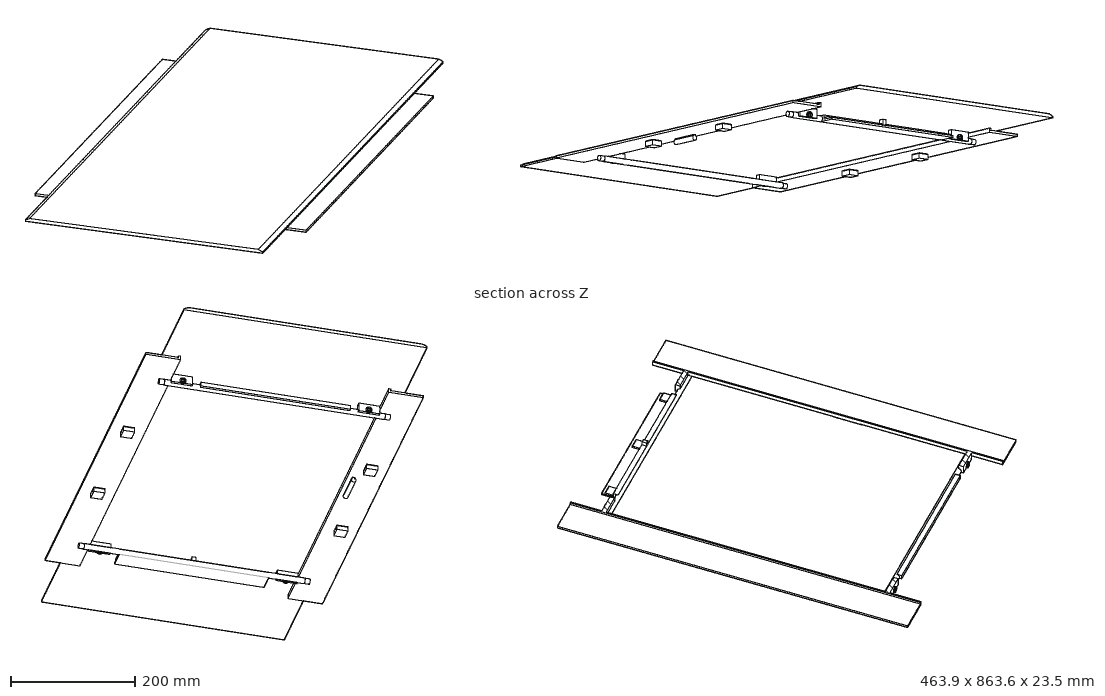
import cadquery as cq

TOTAL_WIDTH = 463.87
TOTAL_HEIGHT = 23.53

PANEL_WIDTH = 406.4
PANEL_LENGTH = 863.6
PANEL_THICKNESS = 6.0
BEVEL_WIDTH = 7.5
PANEL_EDGE_HEIGHT = 2.5
PANEL_BOTTOM = TOTAL_HEIGHT - PANEL_THICKNESS

STRIP_LENGTH = 609.6
STRIP_BOTTOM = 9.3
STRIP_THICKNESS = 3.9
LIP_OUTER_X = 177.5
LIP_THICKNESS = 3.5
LIP_INNER_X = LIP_OUTER_X - LIP_THICKNESS
LIP_TOP = 16.3

ROD_RADIUS = 4.76
ROD_LENGTH = 386.0
ROD_Y = 242.5
ROD_TIP_RADIUS = 4.4
ROD_TIP_LENGTH = 8.5

BRACKET_WIDTH = 35.0
BRACKET_BOTTOM = 2.7
BRACKET_OUTER_Y = 251.0
BRACKET_DEPTH = BRACKET_OUTER_Y - ROD_Y
BRACKET_X = LIP_INNER_X - BRACKET_WIDTH / 2

BOLT_X = 155.5
BOLT_Z = 6.5
BOLT_HEAD_RADIUS = 5.0
BOLT_HEAD_HEIGHT = 2.0
BOLT_SOCKET_RADIUS = 2.5
BOLT_SOCKET_DEPTH = 1.5

BAR_LENGTH = 250.0
BAR_BOTTOM = 2.7
BAR_TOP = 9.9
POST_WIDTH = 6.5

PLATE_FRONT_Y = 271.5
PLATE_THICKNESS = 3.0
TAB_LENGTH = 16.5
TAB_FRONT_Y = 265.5
TAB_TOP = 6.0
TAB_PITCH = 116.5

FOOT_WIDTH = 18.5
FOOT_LENGTH = 19.0
FOOT_X = 203.2
FOOT_Y = 90.0
FOOT_TOP = 8.4
FOOT_NECK_INSET = 1.5

BARREL_RADIUS = 4.1
BARREL_LENGTH = 48.5
BARREL_X = -184.0
BARREL_Y = 32.0
BARREL_NECK_WIDTH = 4.0


def block(x_range, y_range, z_range):
    """Box given by its lower and upper limit along each axis."""
    x0, x1 = x_range
    y0, y1 = y_range
    z0, z1 = z_range
    return cq.Workplane("XY").box(x1 - x0, y1 - y0, z1 - z0, centered=False).translate((x0, y0, z0))


def centred(middle, length):
    """Limits of a length centred on a place."""
    return middle - length / 2, middle + length / 2


def make_panel():
    """Flat panel with its two long edges bevelled on top."""
    edge_x = PANEL_WIDTH / 2
    flat_x = edge_x - BEVEL_WIDTH
    edge_top = PANEL_BOTTOM + PANEL_EDGE_HEIGHT
    outline = [
        (-edge_x, PANEL_BOTTOM),
        (edge_x, PANEL_BOTTOM),
        (edge_x, edge_top),
        (flat_x, TOTAL_HEIGHT),
        (-flat_x, TOTAL_HEIGHT),
        (-edge_x, edge_top),
    ]
    return cq.Workplane("XZ").polyline(outline).close().extrude(PANEL_LENGTH / 2, both=True)


def make_right_strip():
    """L-section strip; the left one is its mirror image."""
    outer_x = TOTAL_WIDTH / 2
    outline = [
        (outer_x, STRIP_BOTTOM),
        (outer_x, STRIP_BOTTOM + STRIP_THICKNESS),
        (LIP_OUTER_X, STRIP_BOTTOM + STRIP_THICKNESS),
        (LIP_OUTER_X, LIP_TOP),
        (LIP_INNER_X, LIP_TOP),
        (LIP_INNER_X, STRIP_BOTTOM),
    ]
    return cq.Workplane("XZ").polyline(outline).close().extrude(STRIP_LENGTH / 2, both=True)


def make_foot(x, y):
    """Rectangular foot hung from the strip by a slightly smaller neck."""
    foot = block(centred(x, FOOT_WIDTH), centred(y, FOOT_LENGTH), (0, FOOT_TOP))
    neck = block(
        centred(x, FOOT_WIDTH - 2 * FOOT_NECK_INSET),
        centred(y, FOOT_LENGTH - 2 * FOOT_NECK_INSET),
        (FOOT_TOP, STRIP_BOTTOM),
    )
    return foot.union(neck)


def make_bolted_bracket(x_side):
    """Front bracket with a socket-head bolt on its outer face."""
    bracket = block(
        centred(x_side * BRACKET_X, BRACKET_WIDTH),
        (-BRACKET_OUTER_Y, -BRACKET_OUTER_Y + BRACKET_DEPTH),
        (BRACKET_BOTTOM, PANEL_BOTTOM),
    )
    face = cq.Workplane("XZ", origin=(x_side * BOLT_X, -BRACKET_OUTER_Y, BOLT_Z))
    head = face.circle(BOLT_HEAD_RADIUS).extrude(BOLT_HEAD_HEIGHT)
    socket = (
        face.workplane(offset=BOLT_HEAD_HEIGHT - BOLT_SOCKET_DEPTH)
        .circle(BOLT_SOCKET_RADIUS)
        .extrude(BOLT_SOCKET_DEPTH)
    )
    return bracket.union(head).cut(socket)


def make_front_rod():
    """Round rod along X with a thinner tip at each end."""
    axis = cq.Workplane("YZ", origin=(0, -ROD_Y, ROD_RADIUS))
    shaft = axis.circle(ROD_RADIUS).extrude(ROD_LENGTH / 2 - ROD_TIP_LENGTH, both=True)
    tips = axis.circle(ROD_TIP_RADIUS).extrude(ROD_LENGTH / 2, both=True)
    return shaft.union(tips)


def make_front_crossmember():
    """Rod, centre bar and bolted brackets that tie the two strips together."""
    rod = make_front_rod()
    bar = block(
        centred(0, BAR_LENGTH),
        (-BRACKET_OUTER_Y, -ROD_Y),
        (BAR_BOTTOM, BAR_TOP),
    )
    crossmember = rod.union(bar)
    for x_side in (-1, 1):
        crossmember = crossmember.union(make_bolted_bracket(x_side))
    return crossmember


def make_post():
    """Post from the front bar up to the panel."""
    return block(
        centred(0, POST_WIDTH),
        (-BRACKET_OUTER_Y, -ROD_Y),
        (BAR_TOP, PANEL_BOTTOM),
    )


def make_front_plate():
    """Thin plate in front of the bar, with three raised tabs."""
    plate = block(centred(0, BAR_LENGTH), (-PLATE_FRONT_Y, -ROD_Y), (0, PLATE_THICKNESS))
    for step in (-1, 0, 1):
        tab = block(
            centred(step * TAB_PITCH, TAB_LENGTH),
            (-TAB_FRONT_Y, -BRACKET_OUTER_Y),
            (0, TAB_TOP),
        )
        plate = plate.union(tab)
    return plate


def make_barrel():
    """Short round barrel lying along Y below the left strip, hung by a neck."""
    barrel = (
        cq.Workplane("XZ", origin=(BARREL_X, BARREL_Y, BARREL_RADIUS))
        .circle(BARREL_RADIUS)
        .extrude(BARREL_LENGTH / 2, both=True)
    )
    neck = block(
        centred(BARREL_X, BARREL_NECK_WIDTH),
        centred(BARREL_Y, BARREL_LENGTH),
        (BARREL_RADIUS, STRIP_BOTTOM),
    )
    return barrel.union(neck)


def make_base():
    """Everything below the panel, as one solid."""
    strip = make_right_strip()
    crossmember = make_front_crossmember()
    base = strip.union(strip.mirror("YZ")).union(crossmember).union(crossmember.mirror("XZ"))
    base = base.union(make_post()).union(make_front_plate()).union(make_barrel())
    for x in (-FOOT_X, FOOT_X):
        for y in (-FOOT_Y, FOOT_Y):
            base = base.union(make_foot(x, y))
    return base


panel = make_panel()
base = make_base()
result = cq.Compound.makeCompound([panel.val(), *base.vals()])